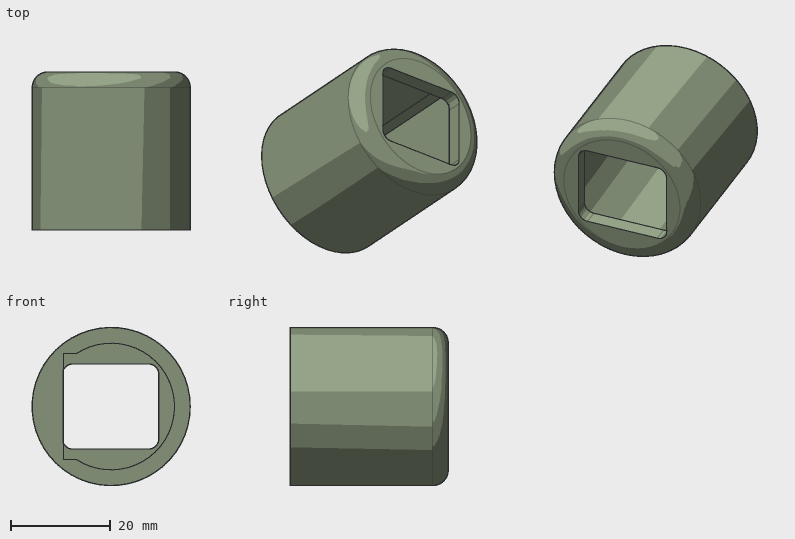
import cadquery as cq

outer_diameter = 31.75
length = 31.75
wall = 3.175
bore_diameter = outer_diameter - 2 * wall
bore_depth = length - wall
edge_radius = wall

flat_offset = 9.6
flat_height = 21.2

window_right = 9.525
window_overhang = 0.15
window_left = flat_offset + window_overhang
window_height = 17.0
window_corner_radius = 2.0


def make_body():
    """Solid cylinder with its +Y rim rounded."""
    cylinder = cq.Workplane("XZ").circle(outer_diameter / 2).extrude(-length)
    return cylinder.faces(">Y").edges().fillet(edge_radius)


def make_bore():
    """Blind bore: a circle cut off by the flat, plus the two square corners at the flat's ends."""
    round_bore = cq.Workplane("XZ").circle(bore_diameter / 2).extrude(-bore_depth)
    right_of_flat = (
        cq.Workplane("XZ")
        .center((bore_diameter / 2 - flat_offset) / 2, 0)
        .rect(bore_diameter / 2 + flat_offset, bore_diameter)
        .extrude(-bore_depth)
    )
    flat_corners = (
        cq.Workplane("XZ")
        .center(-flat_offset / 2, 0)
        .rect(flat_offset, flat_height)
        .extrude(-bore_depth)
    )
    return round_bore.intersect(right_of_flat).union(flat_corners)


def make_window():
    """Rectangular opening with rounded corners, cut through the end wall only."""
    opening = (
        cq.Workplane("XZ", origin=(0, bore_depth, 0))
        .center((window_right - window_left) / 2, 0)
        .rect(window_right + window_left, window_height)
        .extrude(-wall)
    )
    return opening.edges("|Y").fillet(window_corner_radius)


result = make_body().cut(make_bore()).cut(make_window())